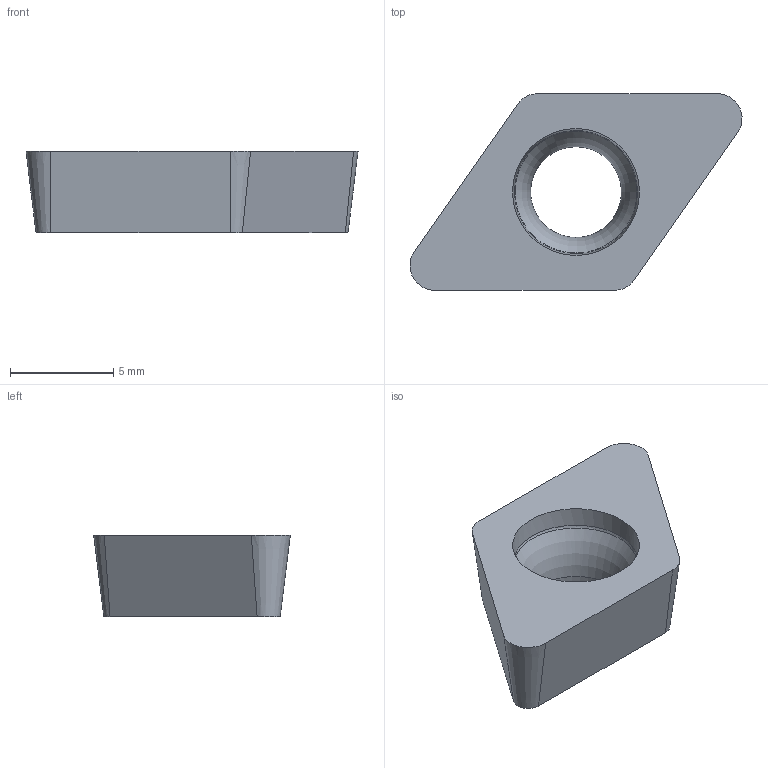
import cadquery as cq
import math

inscribed_circle = 9.525
thickness = 3.97
point_angle = 55.0
relief_angle = 7.0
corner_radius = 1.2

bore_diameter = 4.4
recess_top_diameter = 6.15
recess_depth = 1.0
seat_diameter = 5.99
seat_radius = 4.0
seat_blend_radius = 0.25


def make_body():
    """Rhombic plate, largest at the top, with relieved flanks and conical corners."""
    edge_length = inscribed_circle / math.sin(math.radians(point_angle))
    slant_run = inscribed_circle / math.tan(math.radians(point_angle))
    half_height = inscribed_circle / 2
    long_x = (edge_length + slant_run) / 2
    short_x = (edge_length - slant_run) / 2
    top_outline = (
        cq.Sketch()
        .polygon([
            (-long_x, -half_height),
            (short_x, -half_height),
            (long_x, half_height),
            (-short_x, half_height),
            (-long_x, -half_height),
        ])
        .vertices()
        .fillet(corner_radius)
    )
    return (
        cq.Workplane("XY")
        .workplane(offset=thickness)
        .placeSketch(top_outline)
        .extrude(-thickness, taper=relief_angle)
    )


def make_screw_hole():
    """Bore, rounded screw seat and slightly tapered recess as one turned cutter."""
    bore_radius = bore_diameter / 2
    recess_top_radius = recess_top_diameter / 2
    seat_top_radius = seat_diameter / 2
    seat_z = thickness - recess_depth
    arc_center_r = bore_radius + seat_radius
    seat_drop = math.sqrt(seat_radius**2 - (arc_center_r - seat_top_radius) ** 2)
    arc_center_z = seat_z - seat_drop
    half_angle = math.asin(seat_drop / seat_radius) / 2
    arc_middle = (
        arc_center_r - seat_radius * math.cos(half_angle),
        arc_center_z + seat_radius * math.sin(half_angle),
    )
    cutter = (
        cq.Workplane("XZ")
        .moveTo(0, 0)
        .lineTo(bore_radius, 0)
        .lineTo(bore_radius, arc_center_z)
        .threePointArc(arc_middle, (seat_top_radius, seat_z))
        .lineTo(recess_top_radius, thickness)
        .lineTo(0, thickness)
        .close()
        .revolve(360, (0, 0, 0), (0, 1, 0))
    )
    seat_edge = cq.selectors.BoxSelector(
        (-recess_top_radius, -recess_top_radius, seat_z - seat_blend_radius),
        (recess_top_radius, recess_top_radius, seat_z + seat_blend_radius),
        boundingbox=True,
    )
    return cutter.edges(seat_edge).fillet(seat_blend_radius)


result = make_body().cut(make_screw_hole())